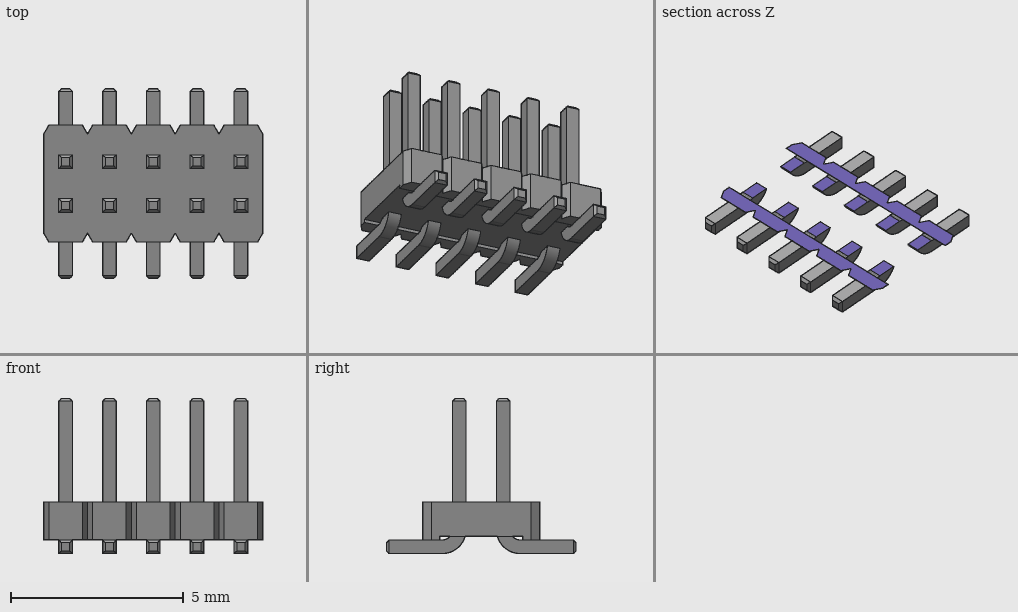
import cadquery as cq
import math

pitch = 1.27
columns = 5
row_offset = pitch / 2

total_height = 4.5
total_depth = 5.5

pin_size = 0.4
bend_inner_radius = 0.3
tip_chamfer = 0.08

body_length = columns * pitch
body_depth = 3.4
body_bottom = pin_size
body_top = 1.5
notch_half_width = 0.15
notch_slope = 60
notch_depth = notch_half_width * math.tan(math.radians(notch_slope))

channel_width = 2.4
channel_depth = 0.1


def front_edge_points():
    """Front edge from left to right: each pin position is a segment with both corners cut."""
    edge_y = -body_depth / 2
    inner_y = edge_y + notch_depth
    points = [(-body_length / 2, inner_y)]
    for column in range(columns):
        left = -body_length / 2 + column * pitch
        right = left + pitch
        points.append((left + notch_half_width, edge_y))
        points.append((right - notch_half_width, edge_y))
        points.append((right, inner_y))
    return points


def make_body():
    """Notched block with a channel along X in its underside."""
    front = front_edge_points()
    back = [(-x, -y) for x, y in front]
    block = (
        cq.Workplane("XY")
        .workplane(offset=body_bottom)
        .polyline(front + back)
        .close()
        .extrude(body_top - body_bottom)
    )
    channel = cq.Workplane("XY").box(
        body_length, channel_width, channel_depth, centered=(True, True, False)
    )
    return block.cut(channel.translate((0, 0, body_bottom)))


def make_tip(plane):
    """Chamfered square pin end, growing along the normal of the given plane."""
    end_size = pin_size - 2 * tip_chamfer
    return (
        cq.Workplane(plane)
        .rect(pin_size, pin_size)
        .workplane(offset=tip_chamfer)
        .rect(end_size, end_size)
        .loft(ruled=True)
    )


def make_pin():
    """Front-row pin at X = 0: a foot along -Y bent up into a vertical post."""
    outer_radius = bend_inner_radius + pin_size
    post_inner_y = -row_offset + pin_size / 2
    post_outer_y = -row_offset - pin_size / 2
    bend_y = post_inner_y - outer_radius
    bend_z = outer_radius
    foot_end_y = -total_depth / 2 + tip_chamfer
    post_end_z = total_height - tip_chamfer
    diagonal = math.sqrt(0.5)

    wire = (
        cq.Workplane("YZ")
        .moveTo(foot_end_y, 0)
        .lineTo(bend_y, 0)
        .threePointArc(
            (bend_y + outer_radius * diagonal, bend_z - outer_radius * diagonal),
            (post_inner_y, bend_z),
        )
        .lineTo(post_inner_y, post_end_z)
        .lineTo(post_outer_y, post_end_z)
        .lineTo(post_outer_y, bend_z)
        .threePointArc(
            (bend_y + bend_inner_radius * diagonal, bend_z - bend_inner_radius * diagonal),
            (bend_y, pin_size),
        )
        .lineTo(foot_end_y, pin_size)
        .close()
        .extrude(pin_size / 2, both=True)
    )
    post_tip = make_tip("XY").translate((0, -row_offset, post_end_z))
    foot_tip = make_tip("XZ").translate((0, foot_end_y, pin_size / 2))
    return wire.union(post_tip).union(foot_tip)


result = make_body()
front_pin = make_pin()
back_pin = front_pin.mirror("XZ")
for column in range(columns):
    pin_x = (column - (columns - 1) / 2) * pitch
    for pin in (front_pin, back_pin):
        result = result.union(pin.translate((pin_x, 0, 0)))